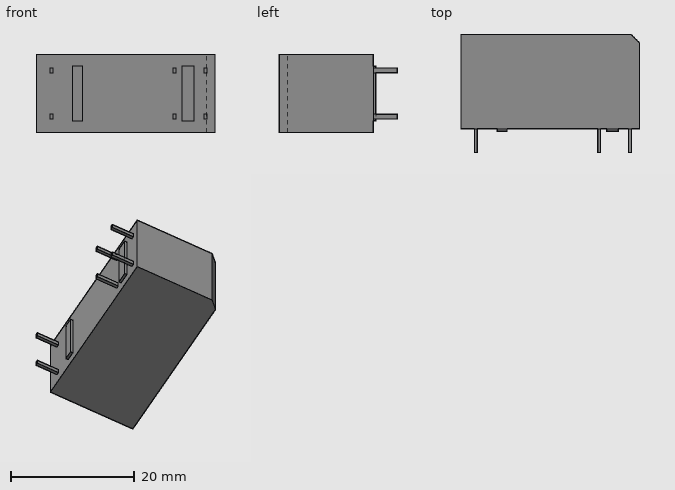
import cadquery as cq

length = 29.0
height = 12.7
total_depth = 19.2
pin_length = 3.9
body_depth = total_depth - pin_length
corner_chamfer = 1.4

pin_width = 0.5
pin_height = 0.8
pin_row_spacing = 7.5
first_pin_x = 2.45
second_pin_offset = 19.98
third_pin_offset = 25.0
pin_columns = [
    first_pin_x,
    first_pin_x + second_pin_offset,
    first_pin_x + third_pin_offset,
]

pad_thickness = 0.4
pad_height = 8.9
narrow_pad_x = 6.7
narrow_pad_width = 1.6
wide_pad_x = 24.6
wide_pad_width = 1.9


def bar_on_pin_face(center_x, center_z, width, bar_height, projection):
    """Rectangular bar projecting in -Y from the pin face at Y = 0."""
    return (
        cq.Workplane("XZ")
        .center(center_x, center_z)
        .rect(width, bar_height)
        .extrude(projection)
    )


result = (
    cq.Workplane("XY")
    .box(length, body_depth, height, centered=(False, False, True))
    .edges("|Z and >X and >Y")
    .chamfer(corner_chamfer)
)

for pad_x, pad_width in [(narrow_pad_x, narrow_pad_width), (wide_pad_x, wide_pad_width)]:
    result = result.union(bar_on_pin_face(pad_x, 0, pad_width, pad_height, pad_thickness))

for pin_x in pin_columns:
    for pin_z in (-pin_row_spacing / 2, pin_row_spacing / 2):
        result = result.union(bar_on_pin_face(pin_x, pin_z, pin_width, pin_height, pin_length))